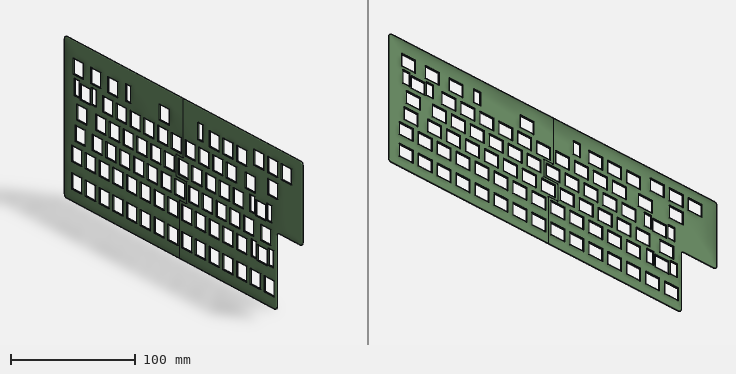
import cadquery as cq

plate_width = 330.0
plate_height = 140.0
plate_thickness = 1.5
main_width = 294.5
step_height = 67.3
corner_radius = 3.0
rim_radius = 0.5

units_per_row = 15
key_field_width = 286.0
unit = key_field_width / units_per_row
field_left = 7.5
field_bottom = 8.0

switch_size = 14.0
stabilizer_width = 7.0
stabilizer_height = 15.0
stabilizer_rise = 1.5
short_stabilizer_reach = 12.0
long_stabilizer_reach = 50.0
short_stabilizer_minimum = 2
long_stabilizer_minimum = 6

half_key = 0.5
row_gap = 0.25
function_row = half_key
number_row = function_row + 1 + row_gap
upper_row = number_row + 1
home_row = upper_row + 1
shift_row = home_row + 1
space_row = shift_row + 1
arrow_row = space_row + row_gap
lone_arrow_row = arrow_row - 1

space_row_keys = [1.25] * 3 + [6.25] + [1] * 3
arrow_start = sum(space_row_keys) + row_gap

key_rows = [
    (function_row, 0, [1] * units_per_row),
    (number_row, 0, [1] * 13 + [2]),
    (upper_row, 0, [1.5] + [1] * 12 + [1.5]),
    (home_row, 0, [1.75] + [1] * 11 + [2.25]),
    (shift_row, 0, [2.25] + [1] * 10 + [1.75]),
    (space_row, 0, space_row_keys),
    (arrow_row, arrow_start, [1] * 3),
    (lone_arrow_row, arrow_start + 1, [1]),
]

joint_low = 8
joint_upper_row = 8.5
joint_home_row = 7.75
joint_high = 8.25


def field_x(units):
    return field_left + units * unit


def field_z(units):
    return field_bottom + units * unit


def extrude_thickness(sketch):
    return sketch.extrude(plate_thickness / 2, both=True)


def make_blank():
    """Stepped plate with rounded corners and no openings."""
    outline = (
        cq.Workplane("XZ")
        .moveTo(0, 0)
        .lineTo(main_width, 0)
        .lineTo(main_width, step_height)
        .lineTo(plate_width, step_height)
        .lineTo(plate_width, plate_height)
        .lineTo(0, plate_height)
        .close()
    )
    rounded = extrude_thickness(outline).edges("|Y").fillet(corner_radius)
    return rounded.faces("<Y or >Y").edges().fillet(rim_radius)


def make_opening_cutters():
    """Blocks that cut the switch and stabilizer openings."""
    switch_centres = []
    stabilizer_centres = []
    for row_height, row_start, key_widths in key_rows:
        z = field_z(row_height)
        key_start = row_start
        for key_width in key_widths:
            x = field_x(key_start + key_width / 2)
            switch_centres.append((x, z))
            if key_width >= short_stabilizer_minimum:
                is_long = key_width >= long_stabilizer_minimum
                reach = long_stabilizer_reach if is_long else short_stabilizer_reach
                stabilizer_centres.append((x - reach, z + stabilizer_rise))
                stabilizer_centres.append((x + reach, z + stabilizer_rise))
            key_start += key_width
    switches = cq.Workplane("XZ").pushPoints(switch_centres).rect(switch_size, switch_size)
    stabilizers = cq.Workplane("XZ").pushPoints(stabilizer_centres).rect(stabilizer_width, stabilizer_height)
    return extrude_thickness(switches), extrude_thickness(stabilizers)


def make_left_region():
    """Block covering everything to the left of the zigzag joint."""
    below_upper_row = field_z(upper_row - half_key)
    below_home_row = field_z(home_row - half_key)
    below_shift_row = field_z(shift_row - half_key)
    region = (
        cq.Workplane("XZ")
        .moveTo(0, 0)
        .lineTo(field_x(joint_low), 0)
        .lineTo(field_x(joint_low), below_upper_row)
        .lineTo(field_x(joint_upper_row), below_upper_row)
        .lineTo(field_x(joint_upper_row), below_home_row)
        .lineTo(field_x(joint_home_row), below_home_row)
        .lineTo(field_x(joint_home_row), below_shift_row)
        .lineTo(field_x(joint_high), below_shift_row)
        .lineTo(field_x(joint_high), plate_height)
        .lineTo(0, plate_height)
        .close()
    )
    return extrude_thickness(region)


switch_cutters, stabilizer_cutters = make_opening_cutters()
plate = make_blank().cut(switch_cutters).cut(stabilizer_cutters)
left_region = make_left_region()
left_plate = plate.intersect(left_region)
right_plate = plate.cut(left_region)

result = cq.Compound.makeCompound([left_plate.val(), right_plate.val()])